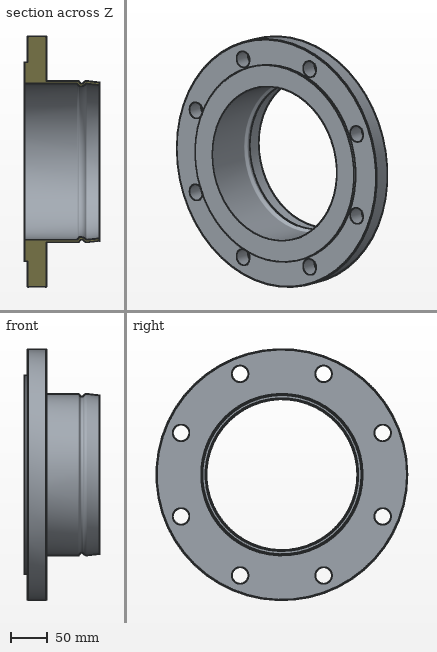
import cadquery as cq
import math

total_length = 101.7
raised_face_height = 4.0
flange_thickness = 26.0
flange_end = raised_face_height + flange_thickness

flange_diameter = 340
raised_face_diameter = 269.7
flange_edge_chamfer = 1.0

hole_count = 8
hole_diameter = 22.0
bolt_circle_diameter = 295.2

pipe_diameter = 219.0
bore_diameter = 211.2
groove_floor_diameter = 211.5
pipe_end_diameter = 215.0
wall_thickness = (pipe_diameter - bore_diameter) / 2
groove_depth = (pipe_diameter - groove_floor_diameter) / 2
end_taper_drop = (pipe_diameter - pipe_end_diameter) / 2

groove_start = 72.8
bend_length = 1.0
steep_flank_length = 4.0
steep_flank_angle = math.radians(53)
floor_length = 1.0
s_flank_length = 6.5
floor_start = groove_start + steep_flank_length
floor_end = floor_start + floor_length
taper_start = floor_end + s_flank_length

bend_drop = bend_length * math.tan(steep_flank_angle / 2)

bore_groove_shift = wall_thickness * math.tan(steep_flank_angle / 2)

outer_lower_share = 1 / 3
bore_lower_share = 0.86


def grooved_body(radius, groove_shift, lower_share):
    """Solid of revolution about X with the groove and tapered end pressed into it.

    The groove shift moves the steep flank and the floor towards the flange, and stretches the
    S-shaped flank so that it still ends where the taper starts.
    """
    floor_radius = radius - groove_depth
    steep_start = groove_start - groove_shift
    steep_end = floor_start - groove_shift
    s_start = floor_end - groove_shift
    s_length = taper_start - s_start
    profile = (
        cq.Workplane("XY")
        .lineTo(0, radius)
        .lineTo(steep_start, radius)
        .tangentArcPoint((steep_start + bend_length, radius - bend_drop), relative=False)
        .lineTo(steep_end - bend_length, floor_radius + bend_drop)
        .tangentArcPoint((steep_end, floor_radius), relative=False)
        .lineTo(s_start, floor_radius)
        .tangentArcPoint((lower_share * s_length, lower_share * groove_depth))
        .tangentArcPoint((taper_start, radius), relative=False)
        .lineTo(total_length, radius - end_taper_drop)
        .lineTo(total_length, 0)
        .close()
    )
    return profile.revolve(360, (0, 0, 0), (1, 0, 0))


def flange_plate():
    """Flange disc with chamfered rims and a raised sealing face."""
    disc = (
        cq.Workplane("YZ", origin=(raised_face_height, 0, 0))
        .circle(flange_diameter / 2)
        .extrude(flange_thickness)
        .edges()
        .chamfer(flange_edge_chamfer)
    )
    raised_face = cq.Workplane("YZ").circle(raised_face_diameter / 2).extrude(flange_end)
    return disc.union(raised_face)


def bolt_holes():
    """Cylinders for the bolt holes through the flange."""
    half_pitch = 180 / hole_count
    return (
        cq.Workplane("YZ")
        .polarArray(bolt_circle_diameter / 2, half_pitch, 360, hole_count)
        .circle(hole_diameter / 2)
        .extrude(flange_end)
    )


result = (
    flange_plate()
    .union(grooved_body(pipe_diameter / 2, 0, outer_lower_share))
    .cut(grooved_body(bore_diameter / 2, bore_groove_shift, bore_lower_share))
    .cut(bolt_holes())
)